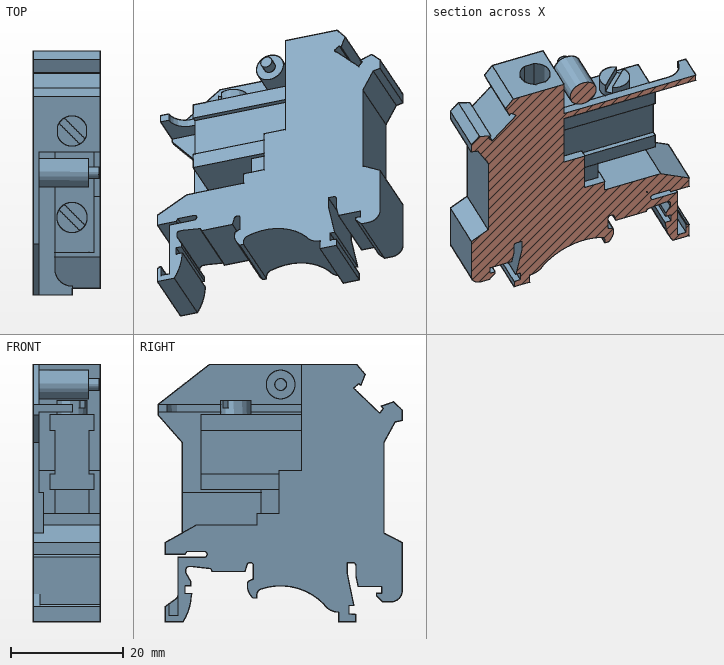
import cadquery as cq
import math

WIDTH = 12.0
DEPTH = 43.55
HEIGHT = 45.9
WALL = 1.0
CUT_MARGIN = 2.3

FRONT_FACE = 1.25
LEG_FACE = 3.55
FOOT_FACE_HEIGHT = 2.7
FOOT_CORNER_HEIGHT = 4.35
FOOT_FILLET = 1.0

LEDGE_EDGE_HEIGHT = 14.15
WALL_FRONT = 4.25
FLOOR_FRONT = 6.85
FLOOR = 17.25
LOW_STEP = 19.3
HIGH_STEP = 26.95
LOW_STEP_FACE = 17.63
HIGH_STEP_FACE = 21.55
TOWER_FACE = 25.55
LEDGE_SLOPE = (FLOOR - LEDGE_EDGE_HEIGHT) / (FLOOR_FRONT - FRONT_FACE)
WALL_FOOT_HEIGHT = LEDGE_EDGE_HEIGHT + LEDGE_SLOPE * (WALL_FRONT - FRONT_FACE)
NOSE_TOP = 38.8
THICK_WALL = 1.9
THICK_WALL_TOP = 23.05

CLAMP_FRONT = 7.6
CLAMP_BOTTOM = 23.55
CLAMP_TOP = 36.95
CLAMP_WIDTH = 7.85
NECK_WIDTH = 6.1
FLANGE_HEIGHT = 2.85
CLAMP_CENTER = 6.95
POST_FRONT = 18.35

SCREW_RADIUS = 2.7
SCREW_TOP = 39.47
FRONT_SCREW_Y = 13.85
REAR_SCREW_Y = 29.3
SCREW_SLOT_WIDTH = 1.35
SCREW_SLOT_DEPTH = 1.38
SCREW_SLOT_ANGLE = -45.0
REAR_HOLE_WIDTH = 5.1

ARM_THICKNESS = 1.38
ARM_INNER = 3.85
ARM_HOOK_END = 6.98
ARM_HOOK_THICKNESS = 1.6
ARM_RADIUS = ARM_HOOK_END - ARM_INNER

PIN_Y = 21.85
PIN_Z = 42.3
PIN_RADIUS = 2.55
PIN_END = 9.85
TIP_RADIUS = 1.05
TIP_END = 11.7

GROOVE_START = 1.2
LIP_THICKNESS = 0.7
LIP_TOP = 3.08
GROOVE_FLOOR = 1.15


def foot_top():
    """Ends of the fillet between the leg and the sloped top of the front foot."""
    rise = FOOT_CORNER_HEIGHT - FOOT_FACE_HEIGHT
    slope_angle = math.atan2(rise, LEG_FACE - FRONT_FACE)
    turn = math.pi / 2 - slope_angle
    reach = FOOT_FILLET * math.tan(turn / 2)
    upper = (LEG_FACE, FOOT_CORNER_HEIGHT + reach)
    lower = (
        LEG_FACE - reach * math.cos(slope_angle),
        FOOT_CORNER_HEIGHT - reach * math.sin(slope_angle),
    )
    return upper, lower, turn


def fillet_middle(start, turn):
    """Middle point of the foot fillet, whose center lies in front of the leg."""
    center_y = start[0] - FOOT_FILLET
    return (
        center_y + FOOT_FILLET * math.cos(turn / 2),
        start[1] - FOOT_FILLET * math.sin(turn / 2),
    )


def draw_lines(sketch, points):
    for point in points:
        sketch = sketch.lineTo(*point)
    return sketch


def housing():
    """Side outline in the YZ plane, extruded over the whole width."""
    fillet_top, fillet_bottom, turn = foot_top()
    outline = cq.Workplane("YZ").moveTo(9.15, HEIGHT)
    outline = draw_lines(outline, [
        (0, NOSE_TOP),
        (0, 36.85),
        (WALL_FRONT, 32.0),
        (WALL_FRONT, WALL_FOOT_HEIGHT),
        (FRONT_FACE, LEDGE_EDGE_HEIGHT),
        (FRONT_FACE, 12.03),
    ])
    outline = draw_lines(outline, [(4.8, 12.03), (5.15, 12.55), (8.2, 12.55)])
    outline = outline.threePointArc((8.7, 12.03), (8.2, 11.5))
    outline = draw_lines(outline, [(LEG_FACE, 11.5), fillet_top])
    outline = outline.threePointArc(fillet_middle(fillet_top, turn), fillet_bottom)
    outline = draw_lines(outline, [(FRONT_FACE, FOOT_FACE_HEIGHT), (FRONT_FACE, 0), (4.45, 0)])
    outline = outline.threePointArc((5.45, 2.1), (5.9, 4.5))
    outline = draw_lines(outline, [
        (6.0, 5.05),
        (4.8, 5.05),
        (4.8, 6.4),
        (5.85, 6.4),
        (5.85, 7.2),
        (4.95, 8.7),
        (4.95, 9.25),
    ])
    outline = outline.threePointArc((5.1, 9.65), (5.45, 9.8))
    outline = draw_lines(outline, [(6.15, 9.8), (9.4, 9.45), (9.6, 8.95), (15.5, 8.95), (15.9, 10.2)])
    outline = outline.threePointArc((16.0, 10.4), (16.25, 10.5)).lineTo(16.52, 10.5)
    outline = outline.threePointArc((16.85, 10.37), (16.95, 10.05)).lineTo(16.95, 7.6)
    outline = draw_lines(outline, [(16.1, 7.25), (15.95, 6.98), (15.95, 5.95)])
    outline = outline.threePointArc((16.25, 5.1), (16.9, 4.2)).lineTo(17.63, 4.2).lineTo(17.63, 4.77)
    outline = outline.threePointArc((17.85, 5.45), (18.4, 5.85))
    outline = outline.threePointArc((25.5, 5.75), (29.55, 3.1))
    outline = outline.threePointArc((30.7, 2.05), (32.18, 1.7))
    outline = draw_lines(outline, [
        (32.18, 0),
        (35.25, 0),
        (35.25, 1.35),
        (34.05, 1.4),
        (34.05, 2.9),
        (34.95, 2.9),
        (33.75, 8.7),
        (33.75, 10.5),
        (34.75, 10.5),
    ])
    outline = outline.threePointArc((35.1, 10.37), (35.25, 10.0))
    outline = draw_lines(outline, [
        (35.25, 8.15),
        (35.65, 6.3),
        (39.85, 6.3),
        (39.85, 5.1),
        (38.92, 5.1),
        (38.92, 4.65),
        (40.02, 3.55),
        (41.45, 3.55),
    ])
    outline = outline.threePointArc((42.95, 4.15), (DEPTH, 5.65))
    outline = draw_lines(outline, [
        (DEPTH, LEDGE_EDGE_HEIGHT),
        (40.3, WALL_FOOT_HEIGHT),
        (40.3, 32.0),
        (42.27, 35.6),
        (DEPTH, 35.9),
        (DEPTH, 37.75),
        (42.0, 39.25),
        (39.75, 38.45),
        (40.15, 38.05),
        (39.5, 37.22),
        (34.9, 41.7),
        (35.8, 42.45),
        (36.15, 42.15),
        (36.95, 44.1),
        (35.45, HEIGHT),
    ])
    return outline.close().extrude(WIDTH)


def box(x_range, y_range, z_range):
    size = [high - low for low, high in (x_range, y_range, z_range)]
    corner = (x_range[0], y_range[0], z_range[0])
    return cq.Workplane("XY").box(*size, centered=False).translate(corner)


def chamber():
    """Open space beside the side wall, with two steps and a sloped ledge in its floor."""
    front = -CUT_MARGIN
    above = HEIGHT + CUT_MARGIN
    profile = [
        (TOWER_FACE, above),
        (TOWER_FACE, HIGH_STEP),
        (HIGH_STEP_FACE, HIGH_STEP),
        (HIGH_STEP_FACE, LOW_STEP),
        (LOW_STEP_FACE, LOW_STEP),
        (LOW_STEP_FACE, FLOOR),
        (FLOOR_FRONT, FLOOR),
        (FRONT_FACE, LEDGE_EDGE_HEIGHT),
        (front, LEDGE_EDGE_HEIGHT),
        (front, above),
    ]
    return cq.Workplane("YZ", origin=(WALL, 0, 0)).polyline(profile).close().extrude(WIDTH)


def thick_wall():
    """Thicker lower part of the side wall."""
    return box((0, THICK_WALL), (WALL_FRONT, HIGH_STEP_FACE), (WALL_FOOT_HEIGHT, THICK_WALL_TOP))


def foot_groove():
    """Groove between the leg and the lip of the foot, with the lip top levelled."""
    lip_back = FRONT_FACE + LIP_THICKNESS
    x_range = (GROOVE_START, WIDTH)
    groove = box(x_range, (lip_back, LEG_FACE), (GROOVE_FLOOR, FOOT_CORNER_HEIGHT + FOOT_FILLET))
    above_lip = box(x_range, (FRONT_FACE, lip_back), (LIP_TOP, FOOT_CORNER_HEIGHT))
    return groove.union(above_lip)


def centered_range(width):
    return (CLAMP_CENTER - width / 2, CLAMP_CENTER + width / 2)


def clamp():
    """I-shaped screw clamp in front of the tower, with a post under it."""
    flange_x = centered_range(CLAMP_WIDTH)
    neck_x = centered_range(NECK_WIDTH)
    y_range = (CLAMP_FRONT, TOWER_FACE)
    body = box(neck_x, y_range, (CLAMP_BOTTOM, CLAMP_TOP))
    for bottom in (CLAMP_BOTTOM, CLAMP_TOP - FLANGE_HEIGHT):
        body = body.union(box(flange_x, y_range, (bottom, bottom + FLANGE_HEIGHT)))
    post = box(neck_x, (POST_FRONT, HIGH_STEP_FACE), (LOW_STEP, CLAMP_BOTTOM))
    return body.union(post)


def screw_slot(screw_y):
    """Driver slot across the top of a screw."""
    slot = cq.Workplane("XY").rect(2 * SCREW_RADIUS, SCREW_SLOT_WIDTH).extrude(-SCREW_SLOT_DEPTH)
    slot = slot.rotate((0, 0, 0), (0, 0, 1), SCREW_SLOT_ANGLE)
    return slot.translate((CLAMP_CENTER, screw_y, SCREW_TOP))


def front_screw():
    head = cq.Workplane("XY", origin=(CLAMP_CENTER, FRONT_SCREW_Y, CLAMP_TOP))
    head = head.circle(SCREW_RADIUS).extrude(SCREW_TOP - CLAMP_TOP)
    return head.cut(screw_slot(FRONT_SCREW_Y))


def rear_screw_hole():
    """Flat-sided hole in the tower, down to a slotted screw head."""
    base = cq.Workplane("XY", origin=(CLAMP_CENTER, REAR_SCREW_Y, SCREW_TOP - SCREW_SLOT_DEPTH))
    depth = HEIGHT - SCREW_TOP
    hole = base.circle(SCREW_RADIUS).extrude(SCREW_SLOT_DEPTH + depth)
    flats = base.rect(REAR_HOLE_WIDTH, 2 * SCREW_RADIUS).extrude(SCREW_SLOT_DEPTH + depth)
    hole = hole.intersect(flats)
    open_part = box((0, WIDTH), (TOWER_FACE, DEPTH), (SCREW_TOP, HEIGHT))
    return hole.intersect(open_part.union(screw_slot(REAR_SCREW_Y)))


def arm():
    """Flat arm along the side wall, ending in a hook with a round inner corner."""
    arc_center = (ARM_HOOK_END, ARM_HOOK_THICKNESS + ARM_RADIUS)
    diagonal = ARM_RADIUS * math.sqrt(0.5)
    return (
        cq.Workplane("XY", origin=(0, 0, NOSE_TOP - ARM_THICKNESS))
        .moveTo(WALL, TOWER_FACE)
        .lineTo(WALL, 0)
        .lineTo(ARM_HOOK_END, 0)
        .lineTo(ARM_HOOK_END, ARM_HOOK_THICKNESS)
        .threePointArc((arc_center[0] - diagonal, arc_center[1] - diagonal), (ARM_INNER, arc_center[1]))
        .lineTo(ARM_INNER, TOWER_FACE)
        .close()
        .extrude(ARM_THICKNESS)
    )


def pin():
    """Stepped round pin standing on the side wall."""
    base = cq.Workplane("YZ", origin=(WALL, PIN_Y, PIN_Z))
    barrel = base.circle(PIN_RADIUS).extrude(PIN_END - WALL)
    tip = base.circle(TIP_RADIUS).extrude(TIP_END - WALL)
    return barrel.union(tip)


result = housing().cut(chamber()).cut(foot_groove()).cut(rear_screw_hole())
for feature in (thick_wall(), clamp(), front_screw(), arm(), pin()):
    result = result.union(feature)